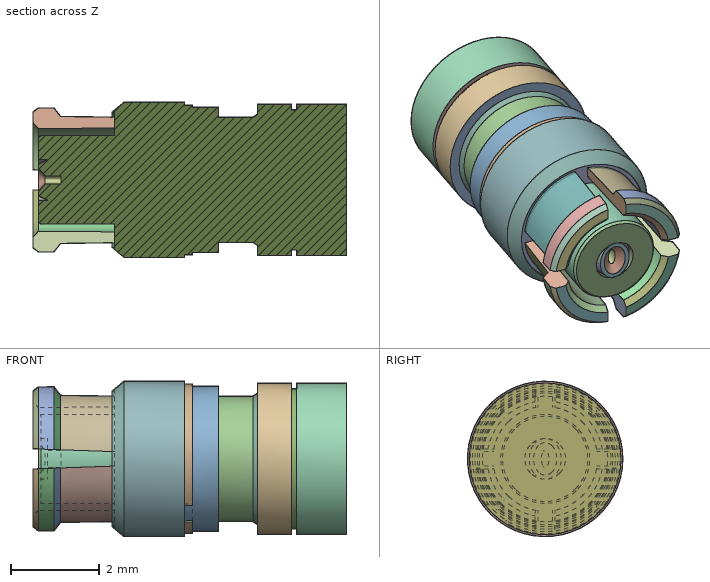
import cadquery as cq

length = 7.11
collar_radius = 1.76

finger_depth = 1.85
tip_face_radius = 1.56
lip_radius = 1.65
lip_chamfer_end = 0.12
lip_end = 0.475
neck_start = 0.625
neck_radius = 1.46
neck_root_radius = 1.435
finger_bore_radius = 1.19
bore_mouth_radius = 1.315
bore_mouth_depth = 0.12

slot_tip_width = 0.455
slot_root_width = 0.33

collar_start = 1.79
collar_nose_radius = 1.535
collar_nose_end = 2.06
collar_end = 3.44

ring_end = 3.61
ring_radius = 1.7
ring_gap_width = 0.555
ring_gap_angle = 48.0

shoulder_radius = 1.65
shoulder_end = 4.21
waist_radius = 1.42
waist_end = 4.985
flare_end = 5.09
flare_radius = 1.49
rear_radius = 1.72
groove_start = 5.865
groove_end = 5.98
groove_radius = 1.59

insulator_start = 0.12
insulator_radius = 1.01
insulator_chamfer_radius = 0.97
insulator_chamfer_end = 0.185
contact_radius = 0.46
contact_tip_half_width = 0.36
contact_taper_depth = 0.21
funnel_mouth_radii = (0.26, 0.37)
funnel_throat_radii = (0.085, 0.19)
funnel_depth = 0.155
throat_depth = 0.355


def revolve_about_x(points):
    """Revolve an (x, radius) outline about the X axis."""
    outline = cq.Workplane("XY").polyline(points).close()
    return outline.revolve(360, (0, 0, 0), (1, 0, 0))


def tube(start, end, inner, outer):
    return revolve_about_x([(start, inner), (end, inner), (end, outer), (start, outer)])


def elliptical_taper(start, depth, start_radii, end_radii):
    """Loft between two ellipses, each given by its Y and Z radii."""
    taper = cq.Workplane("YZ", origin=(start, 0, 0)).ellipse(*start_radii)
    return taper.workplane(offset=depth).ellipse(*end_radii).loft(ruled=True)


def make_body():
    return revolve_about_x([
        (finger_depth, 0),
        (finger_depth, collar_nose_radius),
        (collar_start, collar_nose_radius),
        (collar_nose_end, collar_radius),
        (collar_end, collar_radius),
        (collar_end, shoulder_radius),
        (shoulder_end, shoulder_radius),
        (shoulder_end, waist_radius),
        (waist_end, waist_radius),
        (flare_end, flare_radius),
        (flare_end, rear_radius),
        (groove_start, rear_radius),
        (groove_start, groove_radius),
        (groove_end, groove_radius),
        (groove_end, rear_radius),
        (length, rear_radius),
        (length, 0),
    ])


def make_fingers():
    fingers = revolve_about_x([
        (0, bore_mouth_radius),
        (0, tip_face_radius),
        (lip_chamfer_end, lip_radius),
        (lip_end, lip_radius),
        (neck_start, neck_radius),
        (collar_start, neck_root_radius),
        (finger_depth, neck_root_radius),
        (finger_depth, finger_bore_radius),
        (bore_mouth_depth, finger_bore_radius),
    ])
    slot = (
        cq.Workplane("XY")
        .polyline([
            (0, -slot_tip_width / 2),
            (finger_depth, -slot_root_width / 2),
            (finger_depth, slot_root_width / 2),
            (0, slot_tip_width / 2),
        ])
        .close()
        .extrude(collar_radius, both=True)
    )
    for angle in (0, 90):
        fingers = fingers.cut(slot.rotate((0, 0, 0), (1, 0, 0), angle))
    return fingers


def make_retaining_ring():
    ring = tube(collar_end, ring_end, shoulder_radius, ring_radius)
    gap = (
        cq.Workplane("XY")
        .box(ring_end - collar_end, ring_radius, ring_gap_width, centered=(False, False, True))
        .translate((collar_end, -ring_radius, 0))
        .rotate((0, 0, 0), (1, 0, 0), ring_gap_angle)
    )
    return ring.cut(gap)


def make_insulator():
    return revolve_about_x([
        (insulator_start, 0),
        (insulator_start, insulator_chamfer_radius),
        (insulator_chamfer_end, insulator_radius),
        (finger_depth, insulator_radius),
        (finger_depth, 0),
    ])


def add_contact(insulator):
    """Set a contact pinched to an oval tip, with a funnel entry, into the insulator."""
    socket = cq.Workplane("YZ", origin=(insulator_start, 0, 0)).circle(contact_radius)
    contact = elliptical_taper(
        insulator_start,
        contact_taper_depth,
        (contact_tip_half_width, contact_radius),
        (contact_radius, contact_radius),
    )
    funnel = elliptical_taper(insulator_start, funnel_depth, funnel_mouth_radii, funnel_throat_radii)
    throat = (
        cq.Workplane("YZ", origin=(insulator_start + funnel_depth, 0, 0))
        .ellipse(*funnel_throat_radii)
        .extrude(throat_depth)
    )
    return insulator.cut(socket.extrude(contact_taper_depth)).union(contact).cut(funnel).cut(throat)


result = (
    make_body()
    .union(make_fingers())
    .union(make_retaining_ring())
    .union(add_contact(make_insulator()))
)